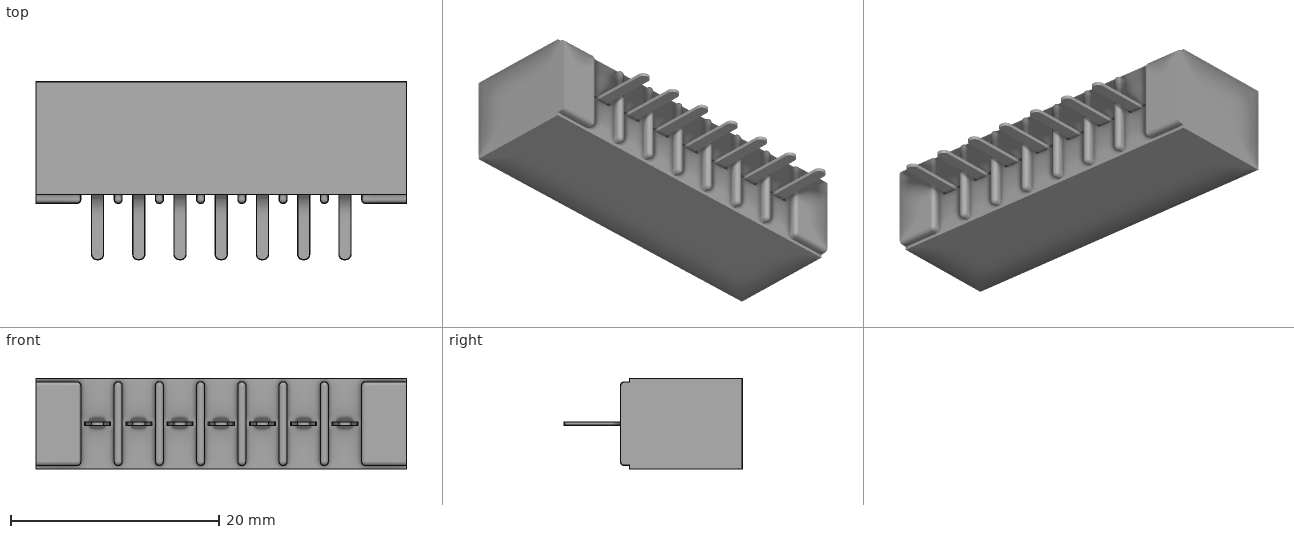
import cadquery as cq

HOUSING_LENGTH = 35.61
HOUSING_DEPTH = 10.85
HOUSING_HEIGHT = 8.71
CONTACT_FACE_Y = 0.0

STANDOFF_RISE = 0.86
STANDOFF_INSET = 0.34
STANDOFF_HEIGHT = HOUSING_HEIGHT - 2 * STANDOFF_INSET
PAD_LENGTH = 4.32
EDGE_RADIUS = 0.38
CREST_FLAT = 0.01
RIB_WIDTH = 2 * EDGE_RADIUS + CREST_FLAT

CONTACT_COUNT = 7
CONTACT_PITCH = 3.96
TOTAL_DEPTH = 17.12
TAIL_LENGTH = TOTAL_DEPTH - HOUSING_DEPTH
TAIL_WIDTH = 1.18
CONTACT_THICKNESS = 0.33
TIP_RADIUS = 0.55
SLOT_LENGTH = 2.5
SLOT_DEPTH = 3.0
SHOULDER_CLEARANCE = 0.1
SHOULDER_LENGTH = SLOT_LENGTH - 2 * SHOULDER_CLEARANCE
SHOULDER_SETBACK = 0.5

CONTACT_XS = [(i - (CONTACT_COUNT - 1) / 2) * CONTACT_PITCH for i in range(CONTACT_COUNT)]
RIB_XS = [x + CONTACT_PITCH / 2 for x in CONTACT_XS[:-1]]


def box_between(x_min, x_max, y_min, y_max, height):
    """Box with the given X and Y limits, centred on Z = 0."""
    return (
        cq.Workplane("XY")
        .box(x_max - x_min, y_max - y_min, height, centered=(False, False, True))
        .translate((x_min, y_min, 0))
    )


def make_end_pad():
    """Pad at the -X end, rounded on its exposed edges and flush with the housing end."""
    end_x = -HOUSING_LENGTH / 2
    pad = box_between(
        end_x, end_x + PAD_LENGTH, CONTACT_FACE_Y - STANDOFF_RISE, CONTACT_FACE_Y, STANDOFF_HEIGHT
    )
    inner_edges = pad.faces(">X").edges("not >Y")
    return inner_edges.add(pad.faces("<Y").edges("|X")).fillet(EDGE_RADIUS)


def make_rib(x):
    """Upright rib, rounded on every exposed edge so that only a thin flat is left on its crest."""
    rib = box_between(
        x - RIB_WIDTH / 2, x + RIB_WIDTH / 2,
        CONTACT_FACE_Y - STANDOFF_RISE, CONTACT_FACE_Y, STANDOFF_HEIGHT,
    )
    return rib.edges("not >Y").fillet(EDGE_RADIUS)


def make_slot(x):
    """Blind slot that takes the shoulder of one contact."""
    return box_between(
        x - SLOT_LENGTH / 2, x + SLOT_LENGTH / 2,
        CONTACT_FACE_Y, CONTACT_FACE_Y + SLOT_DEPTH, CONTACT_THICKNESS,
    )


def make_housing():
    """Block with an end pad at each end, a rib between contacts and a slot per contact."""
    housing = box_between(
        -HOUSING_LENGTH / 2, HOUSING_LENGTH / 2,
        CONTACT_FACE_Y, CONTACT_FACE_Y + HOUSING_DEPTH, HOUSING_HEIGHT,
    )
    end_pad = make_end_pad()
    housing = housing.union(end_pad).union(end_pad.mirror("YZ"))
    for x in RIB_XS:
        housing = housing.union(make_rib(x))
    for x in CONTACT_XS:
        housing = housing.cut(make_slot(x))
    return housing


def make_contact(x):
    """Flat contact: a wide shoulder inside the slot and a narrow tail with a rounded tip."""
    shoulder_y = CONTACT_FACE_Y + SHOULDER_SETBACK
    tail = box_between(
        x - TAIL_WIDTH / 2, x + TAIL_WIDTH / 2,
        CONTACT_FACE_Y - TAIL_LENGTH, shoulder_y, CONTACT_THICKNESS,
    )
    tail = tail.faces("<Y").edges("|Z").fillet(TIP_RADIUS)
    shoulder = box_between(
        x - SHOULDER_LENGTH / 2, x + SHOULDER_LENGTH / 2,
        shoulder_y, CONTACT_FACE_Y + SLOT_DEPTH, CONTACT_THICKNESS,
    )
    return tail.union(shoulder)


housing = make_housing()
contacts = [make_contact(x) for x in CONTACT_XS]

result = cq.Compound.makeCompound([housing.val(), *[contact.val() for contact in contacts]])